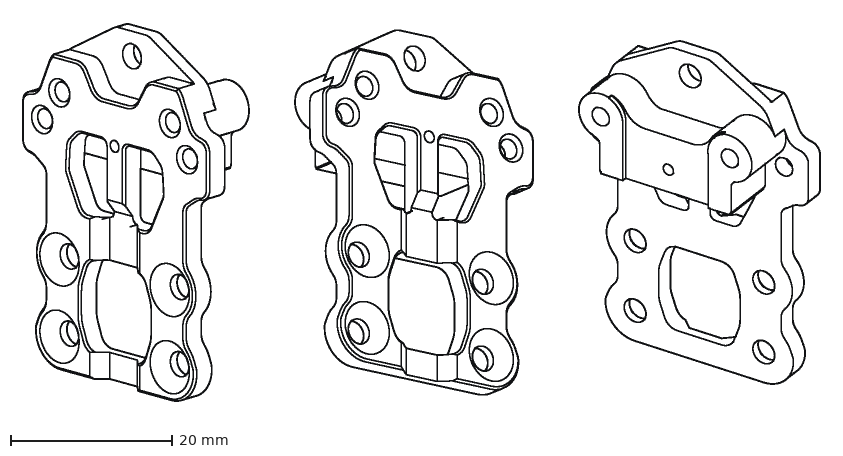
import cadquery as cq
import math

plate_depth = 3.0
notch_depth = 3.1
tab_depth = 5.1
bridge_depth = 10.1
boss_depth = 10.8
edge_chamfer = 0.3

total_height = 45.25
shoulder_height = 40.65
notch_floor = 36.65
tab_bottom = 37.25

screw_x = 9.5
lobe_x = 9.53
screw_pitch = 10.0
lower_screw_z = 4.36
screw_heights = (lower_screw_z, lower_screw_z + screw_pitch)
screw_diameter = 3.2
screw_head_diameter = 6.76
boss_hole = (9.53, 35.95)
ear_hole = (12.5, 31.87)
pin_hole_diameter = 2.53
pin_hole_mouth_diameter = 3.6
tab_hole_z = 42.0
tab_hole_diameter = 3.2
rib_hole_z = 31.0
rib_hole_diameter = 1.5

waist_x = 12.07
lobe_radius = 4.2
foot_radius = lower_screw_z
foot_side_rise = 0.4
foot_blend_radius = 2.0
lobe_blend_radius = 2.0

boss_radius = 3.25
bridge_bottom = 27.8
bridge_side_x = 9.7
leg_inner_x = 6.3
bridge_corner_radius = 0.6
boss_web_fillet = 1.0
crown_radius = 3.57
crown_start = math.radians(-23.8)
crown_end = math.radians(60)
crown_step_x = 8.39
bridge_flat_x = 3.45

channel_depth = 1.6
channel_floor_x = 2.37
channel_wall_x = 3.76
channel_mouth_x = 4.3
ramp_bottom = 21.9
ramp_top = 23.5
rib_end = 23.84

rib_x = 1.6
upper_window_bottom = 21.0
upper_window_top = 31.45
lower_window_x = 6.0
lower_window_bottom = 3.45
lower_window_top = 15.4

body_side = [
    (-waist_x, lower_screw_z, 0),
    (-waist_x, 25.5, 1.2),
    (-14.2, 26.97, 2.0),
    (-16.1, 27.2, 1.5),
    (-16.1, 34.65, 1.5),
    (-13.38, 35.27, 2.0),
    (-11.13, 40.5, 3.0),
    (-2.8, total_height, 2.0),
]
notch_side = [
    (-3.27, notch_floor, 2.0),
    (-5.6, shoulder_height, 2.0),
    (-waist_x, shoulder_height, 0),
    (-waist_x, total_height, 0),
]
lower_window_side = [
    (-4.66, lower_window_bottom, 2.0),
    (-lower_window_x, 7.15, 4.0),
    (-lower_window_x, 11.7, 4.0),
    (-4.66, lower_window_top, 2.0),
]
upper_window = [
    (-rib_x, upper_window_bottom, 0.8),
    (-5.7, upper_window_bottom, 1.5),
    (-8.17, 26.2, 1.0),
    (-7.93, 29.8, 1.5),
    (-6.25, upper_window_top, 1.5),
    (-rib_x, upper_window_top, 0.8),
]


def with_mirror(side):
    """Close a half outline with its mirror image across X = 0."""
    return side + [(-x, z, radius) for x, z, radius in reversed(side)]


def front_plane(y):
    return cq.Workplane("XZ", origin=(0, y, 0))


def rounded_prism(corners, y_start, y_end):
    """Prism along Y whose outline is a polygon with rounded corners."""
    path = []
    count = len(corners)
    for i, (x, z, radius) in enumerate(corners):
        corner = cq.Vector(x, z)
        to_previous = (cq.Vector(*corners[i - 1][:2]) - corner).normalized()
        to_next = (cq.Vector(*corners[(i + 1) % count][:2]) - corner).normalized()
        half_angle = to_previous.getAngle(to_next) / 2
        setback = radius / math.tan(half_angle)
        bisector = (to_previous + to_next).normalized()
        middle = corner + bisector * (radius / math.sin(half_angle) - radius)
        start = corner + to_previous * setback
        end = corner + to_next * setback
        path.append((start, middle, end, radius))

    outline = front_plane(y_start).moveTo(path[0][2].x, path[0][2].y)
    for start, middle, end, radius in path[1:] + path[:1]:
        outline = outline.lineTo(start.x, start.y)
        if radius > 0:
            outline = outline.threePointArc((middle.x, middle.y), (end.x, end.y))
    return outline.close().extrude(y_start - y_end)


def box(x_half, y_start, y_end, z_start, z_end):
    size = (2 * x_half, y_end - y_start, z_end - z_start)
    return cq.Workplane("XY").box(*size, centered=(True, False, False)).translate((0, y_start, z_start))


def discs(points, diameter, y_start, y_end):
    return front_plane(y_start).pushPoints(points).circle(diameter / 2).extrude(y_start - y_end)


def both_sides(x, heights):
    return [(side * x, z) for side in (-1, 1) for z in heights]


def make_foot():
    """Bottom bar whose larger corner arcs run into the lower lobes along tangent lines."""
    side_x = lobe_x + foot_radius
    side_distance = math.hypot(foot_radius, foot_side_rise)
    tangent_angle = math.atan2(foot_side_rise, foot_radius) + math.acos(lobe_radius / side_distance)
    tangent_x = lobe_x + lobe_radius * math.cos(tangent_angle)
    tangent_z = lower_screw_z + lobe_radius * math.sin(tangent_angle)
    foot_side = [
        (-side_x, 0, foot_radius),
        (-side_x, lower_screw_z + foot_side_rise, foot_blend_radius),
        (-tangent_x, tangent_z, 0),
    ]
    return rounded_prism(with_mirror(foot_side), 0, plate_depth)


def make_plate():
    """Front plate with its lobes, top tab and windows, chamfered around the front face."""
    plate = rounded_prism(with_mirror(body_side), 0, tab_depth)
    plate = plate.cut(box(2 * waist_x, plate_depth, tab_depth, 0, tab_bottom))
    plate = plate.union(make_foot())
    plate = plate.union(discs(both_sides(lobe_x, screw_heights), 2 * lobe_radius, 0, plate_depth))

    blend_zone = cq.selectors.BoxSelector(
        (-waist_x - 0.1, -1, lower_screw_z + lobe_radius / 2),
        (waist_x + 0.1, plate_depth + 1, screw_heights[1] + lobe_radius),
    )
    plate = plate.edges("|Y").edges(blend_zone).fillet(lobe_blend_radius)

    plate = plate.cut(rounded_prism(with_mirror(notch_side), 0, notch_depth))
    plate = plate.cut(rounded_prism(with_mirror(lower_window_side), 0, plate_depth))
    window = rounded_prism(upper_window, 0, plate_depth)
    plate = plate.cut(window).cut(window.mirror("YZ"))
    return plate.faces("<Y").edges().chamfer(edge_chamfer)


def make_channel():
    """Tapered channel up the front face, ending in a ramp on the rib between the windows."""
    section = [
        (-channel_mouth_x, 0),
        (-channel_wall_x, edge_chamfer),
        (-channel_floor_x, channel_depth),
        (channel_floor_x, channel_depth),
        (channel_wall_x, edge_chamfer),
        (channel_mouth_x, 0),
    ]
    trough = cq.Workplane("XY").polyline(section).close().extrude(upper_window_bottom)
    ramp_profile = [
        (0, upper_window_bottom),
        (channel_depth, upper_window_bottom),
        (channel_depth, ramp_bottom),
        (edge_chamfer, ramp_top),
        (0, rib_end),
    ]
    ramp = cq.Workplane("YZ").polyline(ramp_profile).close().extrude(channel_floor_x, both=True)
    return trough.union(ramp)


def crown_half(rear):
    """The -X half of the bridge, with the crown arc over the boss and the valley beside it."""
    boss_x, boss_z = boss_hole
    offset = crown_radius - boss_radius
    crown_x = -boss_x - offset * math.sin(crown_start)
    crown_z = boss_z - offset * math.cos(crown_start)

    def on_crown(angle):
        return (crown_x + crown_radius * math.sin(angle), crown_z + crown_radius * math.cos(angle))

    crown_end_x, crown_end_z = on_crown(crown_end)
    valley_radius = (-bridge_flat_x - crown_end_x) / math.sin(crown_end)
    valley_z = crown_end_z + valley_radius * math.cos(crown_end)
    valley_middle = (
        -bridge_flat_x - valley_radius * math.sin(crown_end / 2),
        valley_z - valley_radius * math.cos(crown_end / 2),
    )
    bridge_top = valley_z - valley_radius
    return (
        front_plane(plate_depth)
        .moveTo(-boss_x, boss_z)
        .lineTo(*on_crown(crown_start))
        .threePointArc(on_crown((crown_start + crown_end) / 2), (crown_end_x, crown_end_z))
        .threePointArc(valley_middle, (-bridge_flat_x, bridge_top))
        .lineTo(0, bridge_top)
        .lineTo(0, bridge_bottom)
        .lineTo(-boss_x, bridge_bottom)
        .close()
        .extrude(plate_depth - rear)
    )


def make_bridge():
    """Rear bridge between the bosses, joined to the tab by a slab behind the notch."""
    bridge = crown_half(bridge_depth)
    crown_rear = crown_half(boss_depth).cut(
        box(crown_step_x, plate_depth, boss_depth, bridge_bottom, total_height)
    )
    half = bridge.union(crown_rear)
    boss_x, boss_z = boss_hole
    slab = box(boss_x, plate_depth, tab_depth, boss_z, tab_bottom)
    bridge = half.union(half.mirror("YZ")).union(slab)
    return bridge.cut(rounded_prism(with_mirror(notch_side), 0, notch_depth))


def make_boss():
    """Boss on the -X side with the leg that carries it down to the bridge's lower edge."""
    boss_x, boss_z = boss_hole
    boss = discs([(-boss_x, boss_z)], 2 * boss_radius, plate_depth, boss_depth)
    leg_width = bridge_side_x - leg_inner_x
    leg = box(leg_width / 2, plate_depth, boss_depth, bridge_bottom, boss_z)
    leg = leg.translate((-(bridge_side_x + leg_inner_x) / 2, 0, 0))
    leg = leg.edges("|Y and <X and <Z").fillet(bridge_corner_radius)
    boss = boss.union(leg)
    web_zone = cq.selectors.BoxSelector(
        (-bridge_side_x - 0.1, 0, bridge_bottom + boss_web_fillet),
        (-bridge_side_x + 0.1, boss_depth, boss_z),
    )
    return boss.edges("|Y").edges(web_zone).fillet(boss_web_fillet)


def flared_holes(points, diameter, mouth_diameter, depth):
    """Through holes that open at 90 degrees towards the front face."""
    cone_depth = (mouth_diameter - diameter) / 2
    holes = discs(points, diameter, 0, depth)
    for x, z in points:
        cone = cq.Solid.makeCone(
            mouth_diameter / 2, diameter / 2, cone_depth, cq.Vector(x, 0, z), cq.Vector(0, 1, 0)
        )
        holes = holes.union(cq.Workplane(cone))
    return holes


boss = make_boss()
result = make_plate().union(make_bridge()).union(boss).union(boss.mirror("YZ"))
result = result.cut(make_channel())
result = result.cut(
    flared_holes(both_sides(screw_x, screw_heights), screw_diameter, screw_head_diameter, plate_depth)
)
for hole_x, hole_z in (boss_hole, ear_hole):
    pin_holes = both_sides(hole_x, [hole_z])
    result = result.cut(flared_holes(pin_holes, pin_hole_diameter, pin_hole_mouth_diameter, boss_depth))
result = result.cut(discs([(0, tab_hole_z)], tab_hole_diameter, 0, tab_depth))
result = result.cut(discs([(0, rib_hole_z)], rib_hole_diameter, 0, boss_depth))